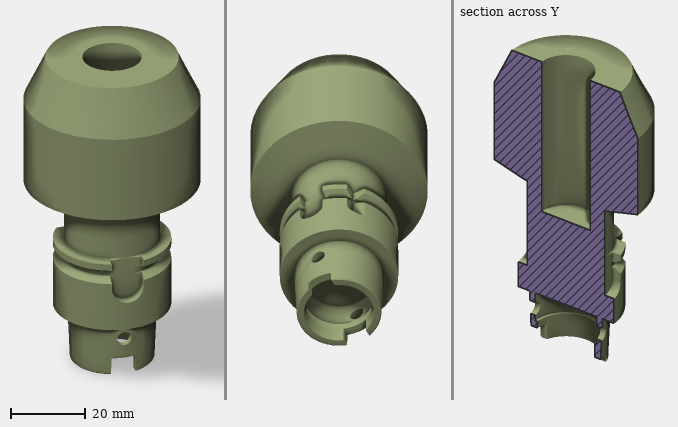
import cadquery as cq

total_height = 91.0
head_diameter = 48.0
head_top_radius = 18.0
head_top_cone_z = 78.35
head_bottom_z = 53.8
head_underside_z = 50.9
neck_radius = 13.0
neck_fillet = 0.4
clamp_bore_radius = 8.0
clamp_bore_depth = 48.0

collar_radius = 16.0
collar_bottom_z = 16.0
collar_top_z = 36.0
groove_radius = 13.3
groove_chamfer_radius = 14.1
groove_lower_edge_z = 30.0
groove_lower_floor_z = 31.3
groove_upper_floor_z = 33.0
groove_upper_edge_z = 34.1

shank_top_radius = 12.2
shank_end_radius = 11.5
shank_chamfer = 0.3
shank_bore_radius = 9.5
undercut_radius = 10.2
undercut_bottom_z = 7.3
cross_hole_radius = 2.0
cross_hole_z = 11.0

slot_width = 6.9
wide_slot_width = 9.0
slot_bottom_z = 24.0
slot_floor_x = 13.0
corner_notch_offset = 9.5
end_notch_height = 2.8
tall_end_notch_height = 5.1
end_notch_fillet = 0.4

head_radius = head_diameter / 2
slot_radius = slot_width / 2


def revolved_body():
    """Outer shape of head, neck, collar and shank."""
    return (
        cq.Workplane("XZ")
        .moveTo(0, 0)
        .lineTo(shank_end_radius - shank_chamfer, 0)
        .lineTo(shank_end_radius, shank_chamfer)
        .lineTo(shank_top_radius, collar_bottom_z)
        .lineTo(collar_radius, collar_bottom_z)
        .lineTo(collar_radius, groove_lower_edge_z)
        .lineTo(groove_chamfer_radius, groove_lower_floor_z)
        .lineTo(groove_radius, groove_lower_floor_z)
        .lineTo(groove_radius, groove_upper_floor_z)
        .lineTo(groove_chamfer_radius, groove_upper_floor_z)
        .lineTo(collar_radius, groove_upper_edge_z)
        .lineTo(collar_radius, collar_top_z)
        .lineTo(neck_radius + neck_fillet, collar_top_z)
        .radiusArc((neck_radius, collar_top_z + neck_fillet), neck_fillet)
        .lineTo(neck_radius, head_underside_z)
        .lineTo(head_radius, head_bottom_z)
        .lineTo(head_radius, head_top_cone_z)
        .lineTo(head_top_radius, total_height)
        .lineTo(0, total_height)
        .close()
        .revolve(360, (0, 0, 0), (0, 1, 0))
    )


def round_bottom_slot(floor_x, center_y, width):
    """Cutter entering along -X that stops at X = -floor_x and is open at the collar top."""
    half_width = width / 2
    round_center_z = slot_bottom_z + half_width
    left = center_y - half_width
    right = center_y + half_width
    return (
        cq.Workplane("YZ", origin=(-floor_x, 0, 0))
        .moveTo(left, collar_top_z + neck_fillet)
        .lineTo(left, round_center_z)
        .threePointArc((center_y, slot_bottom_z), (right, round_center_z))
        .lineTo(right, collar_top_z + neck_fillet)
        .close()
        .extrude(-collar_radius)
    )


def end_notch(height, side):
    """Notch through the shank wall on one side (-1 or +1) along X, with rounded upper corners."""
    return (
        cq.Workplane("XY")
        .box(collar_radius, slot_width, height, centered=(True, True, False))
        .edges("|X and >Z")
        .fillet(end_notch_fillet)
        .translate((side * collar_radius / 2, 0, 0))
    )


body = revolved_body()

clamp_bore = (
    cq.Workplane("XY", origin=(0, 0, total_height - clamp_bore_depth))
    .circle(clamp_bore_radius)
    .extrude(clamp_bore_depth)
)
shank_bore = cq.Workplane("XY").circle(shank_bore_radius).extrude(collar_bottom_z)
undercut = (
    cq.Workplane("XY", origin=(0, 0, undercut_bottom_z))
    .circle(undercut_radius)
    .extrude(collar_bottom_z - undercut_bottom_z)
)
body = body.cut(clamp_bore).cut(shank_bore).cut(undercut)

drive_slot = round_bottom_slot(slot_floor_x, 0, slot_width)
wide_drive_slot = round_bottom_slot(slot_floor_x, 0, wide_slot_width).mirror("YZ")
body = body.cut(drive_slot).cut(wide_drive_slot)

corner_notch = round_bottom_slot(corner_notch_offset, -corner_notch_offset - slot_radius, slot_width)
body = body.cut(corner_notch)

body = body.cut(end_notch(end_notch_height, -1)).cut(end_notch(tall_end_notch_height, 1))

cross_hole = (
    cq.Workplane("YZ", origin=(0, 0, cross_hole_z))
    .circle(cross_hole_radius)
    .extrude(collar_radius, both=True)
)
result = body.cut(cross_hole)